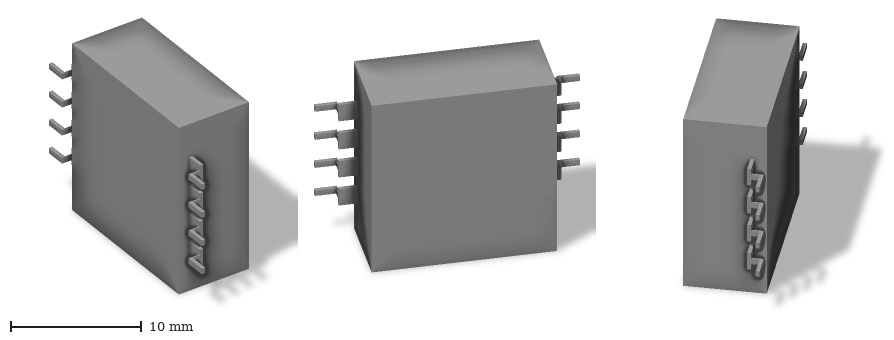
import cadquery as cq

overall_width = 20.7
body_depth = 6.48
body_height = 15.11

lead_reach = 3.1
lead_count = 4
lead_pitch = 2.55
lead_thickness = 0.31
shoulder_length = 1.45
shoulder_width = 1.5
shoulder_offset = 1.26
foot_width = 0.5
riser_thickness = 0.12

body_width = overall_width - 2 * lead_reach
body_side_x = body_width / 2
shoulder_end_x = body_side_x + shoulder_length
riser_inner_x = shoulder_end_x - riser_thickness
mounting_y = -body_depth / 2
shoulder_top_y = mounting_y + shoulder_offset


def block(x_range, y_range, width_z):
    """Box between two X and two Y positions, centred on Z = 0."""
    x_start, x_end = x_range
    y_start, y_end = y_range
    return (
        cq.Workplane("XY")
        .box(x_end - x_start, y_end - y_start, width_z)
        .translate(((x_start + x_end) / 2, (y_start + y_end) / 2, 0))
    )


def make_lead():
    """Stepped lead on the +X side: wide shoulder, thin riser and narrow foot."""
    shoulder = block(
        (body_side_x, shoulder_end_x),
        (shoulder_top_y - lead_thickness, shoulder_top_y),
        shoulder_width,
    )
    riser = block((riser_inner_x, shoulder_end_x), (mounting_y, shoulder_top_y), foot_width)
    foot = block(
        (riser_inner_x, overall_width / 2),
        (mounting_y, mounting_y + lead_thickness),
        foot_width,
    )
    return shoulder.union(riser).union(foot)


result = cq.Workplane("XY").box(body_width, body_depth, body_height)

right_lead = make_lead()
left_lead = right_lead.mirror("YZ")

for index in range(lead_count):
    lead_z = (index - (lead_count - 1) / 2) * lead_pitch
    for lead in (right_lead, left_lead):
        result = result.union(lead.translate((0, 0, lead_z)))